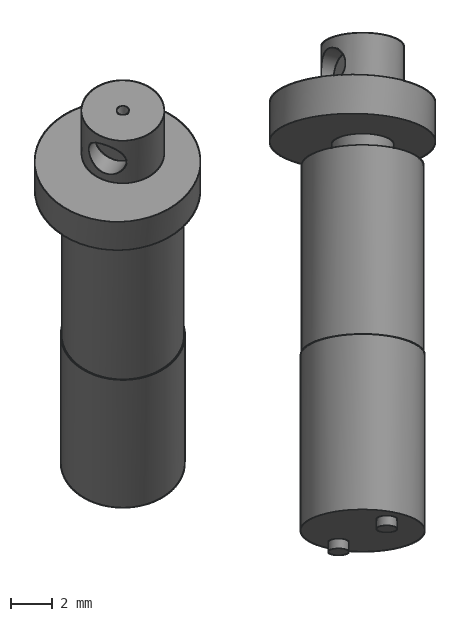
import cadquery as cq

pin_diameter = 1.0
pin_length = 0.5
pin_spacing = 4.0

lower_body_diameter = 6.0
lower_body_length = 9.0
upper_body_diameter = 5.9
upper_body_length = 9.7
neck_diameter = 3.0
neck_length = 1.1

flange_diameter = 8.0
flange_thickness = 2.0
flange_offset = 0.6

boss_diameter = 4.0
boss_height = 3.0

cross_hole_diameter = 2.0
cross_hole_depth = 1.0

centre_mark_top_diameter = 0.6
centre_mark_bottom_diameter = 0.2
centre_mark_depth = 0.5

lower_body_base = pin_length
upper_body_base = lower_body_base + lower_body_length
neck_base = upper_body_base + upper_body_length
flange_base = neck_base + neck_length
boss_base = flange_base + flange_thickness
boss_top = boss_base + boss_height


def cylinder(diameter, length, base, x=0.0, y=0.0):
    """Vertical cylinder standing at height base."""
    return cq.Workplane("XY", origin=(x, y, base)).circle(diameter / 2).extrude(length)


def make_stem():
    """Stacked round sections from the lower body up to the boss."""
    stem = cylinder(lower_body_diameter, lower_body_length, lower_body_base)
    stem = stem.union(cylinder(upper_body_diameter, upper_body_length, upper_body_base))
    stem = stem.union(cylinder(neck_diameter, neck_length, neck_base))
    stem = stem.union(cylinder(flange_diameter, flange_thickness, flange_base, y=-flange_offset))
    return stem.union(cylinder(boss_diameter, boss_height, boss_base))


def add_pins(body):
    """Two short pins under the lower body, either side of the axis along X."""
    for side in (-1, 1):
        body = body.union(cylinder(pin_diameter, pin_length, 0.0, x=side * pin_spacing / 2))
    return body


def cross_hole():
    """Horizontal bore at mid-height of the boss, running from its -Y side towards +Y."""
    start = (0.0, -boss_diameter / 2, boss_base + boss_height / 2)
    return cq.Workplane("XZ", origin=start).circle(cross_hole_diameter / 2).extrude(-cross_hole_depth)


def centre_mark():
    """Tapered recess on the main axis, cut down from the top of the boss."""
    mouth = cq.Workplane("XY", origin=(0, 0, boss_top)).circle(centre_mark_top_diameter / 2)
    floor = mouth.workplane(offset=-centre_mark_depth).circle(centre_mark_bottom_diameter / 2)
    return floor.loft()


result = add_pins(make_stem()).cut(cross_hole()).cut(centre_mark())